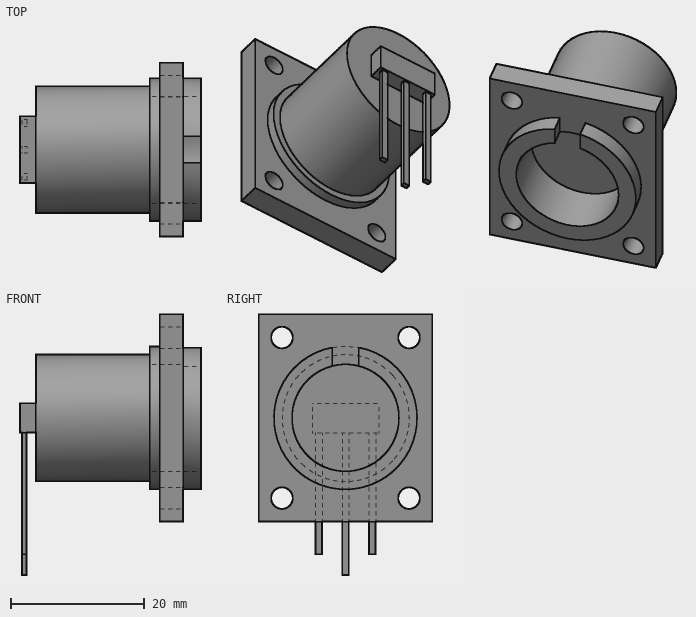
import cadquery as cq


plate_thickness = 3.5
plate_width = 26.0
plate_height = 31.0
screw_hole_diameter = 3.2
screw_spacing_y = 19.0
screw_spacing_z = 24.0

collar_diameter = 21.4
collar_length = 1.5
barrel_diameter = 19.0
barrel_length = 17.0
ring_length = 2.7
bore_diameter = 16.0
keyway_width = 4.0

block_length = 2.4
block_width = 10.0
block_height = 4.4

lead_thickness = 0.7
lead_width = 1.0
lead_pitch = 4.0
lead_inset = 0.3
outer_lead_length = 18.2
middle_lead_length = 21.3

ring_front_x = plate_thickness + ring_length
collar_back_x = -collar_length
barrel_back_x = collar_back_x - barrel_length
block_back_x = barrel_back_x - block_length


def disc(diameter, start_x, end_x):
    """Solid cylinder on the X axis between two X positions."""
    return cq.Workplane("YZ").workplane(offset=start_x).circle(diameter / 2).extrude(end_x - start_x)


def make_plate():
    """Rectangular plate with a screw hole near each corner."""
    return (
        cq.Workplane("YZ")
        .rect(plate_width, plate_height)
        .extrude(plate_thickness)
        .faces(">X")
        .workplane(centerOption="CenterOfBoundBox")
        .rect(screw_spacing_y, screw_spacing_z, forConstruction=True)
        .vertices()
        .hole(screw_hole_diameter)
    )


def make_keyway():
    """Cutter for the slot through the top wall of the front ring, from the bore outward."""
    return cq.Workplane("XY").box(
        ring_length, keyway_width, collar_diameter / 2, centered=(False, True, False)
    ).translate((plate_thickness, 0, 0))


def make_housing():
    """Plate, collar, barrel, bored front ring and terminal block as one solid."""
    barrel = disc(barrel_diameter, barrel_back_x, 0)
    collar_and_ring = disc(collar_diameter, collar_back_x, ring_front_x)
    block = cq.Workplane("XY").box(
        block_length, block_width, block_height, centered=(False, True, True)
    ).translate((block_back_x, 0, 0))
    bore = disc(bore_diameter, collar_back_x, ring_front_x)
    return make_plate().union(collar_and_ring).union(barrel).union(block).cut(bore).cut(make_keyway())


def make_lead(center_y, length):
    """Flat rectangular lead whose top end touches the underside of the block."""
    return cq.Workplane("XY").box(
        lead_thickness, lead_width, length, centered=(False, True, False)
    ).translate((block_back_x + lead_inset, center_y, -block_height / 2 - length))


housing = make_housing()

leads = []
for position in (-1, 0, 1):
    lead_length = middle_lead_length if position == 0 else outer_lead_length
    leads.append(make_lead(position * lead_pitch, lead_length))

result = cq.Compound.makeCompound([housing.val(), *[lead.val() for lead in leads]])